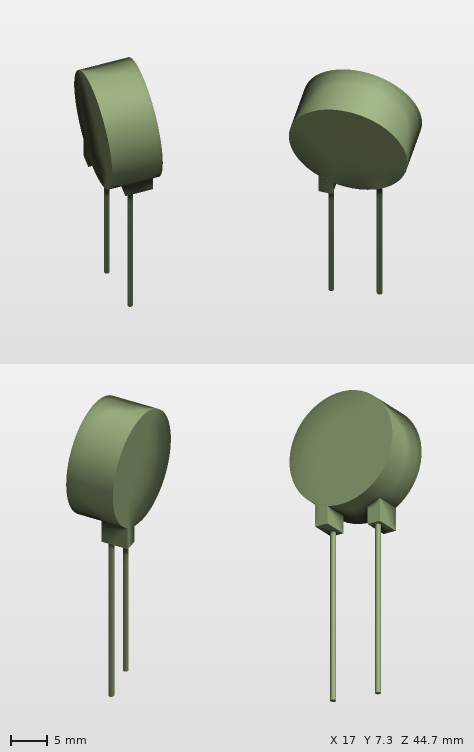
import cadquery as cq

DISC_DIAMETER = 17.0
DISC_THICKNESS = 7.3

SUPPORT_WIDTH = 2.0
SUPPORT_DEPTH = 4.0
SUPPORT_SPACING = 6.5
SUPPORT_DROP = 2.32

LEAD_DIAMETER = 0.8
LEAD_SPACING_X = 6.55
LEAD_SPACING_Y = 1.25
OVERALL_HEIGHT = 44.7

disc_radius = DISC_DIAMETER / 2
support_bottom = -disc_radius - SUPPORT_DROP
lead_length = OVERALL_HEIGHT - DISC_DIAMETER - SUPPORT_DROP


def make_disc():
    return (
        cq.Workplane("XZ", origin=(0, DISC_THICKNESS / 2, 0))
        .circle(disc_radius)
        .extrude(DISC_THICKNESS)
    )


def make_support(side, disc):
    """Block whose top is hollowed to sit against the rim; side -1 is left front, +1 is right rear."""
    x = side * SUPPORT_SPACING / 2
    y = side * (DISC_THICKNESS - SUPPORT_DEPTH) / 2
    block_height = -support_bottom - disc_radius / 2
    block = (
        cq.Workplane("XY", origin=(x, y, support_bottom))
        .rect(SUPPORT_WIDTH, SUPPORT_DEPTH)
        .extrude(block_height)
    )
    return block.cut(disc)


def make_lead(side):
    """Round wire that starts on the underside of its support."""
    x = side * LEAD_SPACING_X / 2
    y = side * LEAD_SPACING_Y / 2
    return (
        cq.Workplane("XY", origin=(x, y, support_bottom))
        .circle(LEAD_DIAMETER / 2)
        .extrude(-lead_length)
    )


disc = make_disc()
supports = [make_support(side, disc) for side in (-1, 1)]
leads = [make_lead(side) for side in (-1, 1)]

result = cq.Compound.makeCompound([
    disc.val(),
    *[support.solids().val() for support in supports],
    *[lead.val() for lead in leads],
])